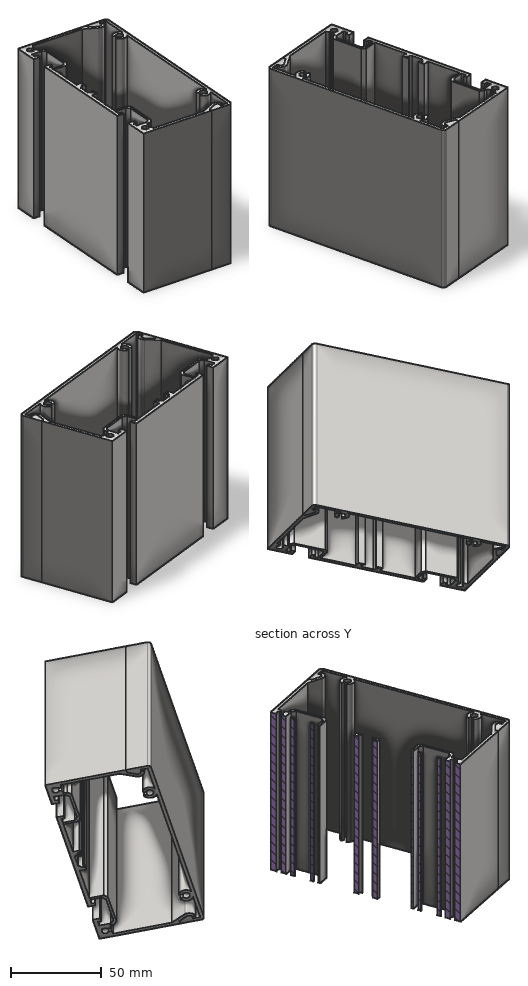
import cadquery as cq
import math

WIDTH = 120
DEPTH = 60
HEIGHT = 100.0
MID_X = WIDTH / 2
WALL = 2.0

COVER_CORNER = 1.9
BOSS_X = 19.9
BOSS_Y = DEPTH - 5.4
BOSS_RADIUS = 4.1
BOSS_BORE_RADIUS = 2.0
BOSS_GAP_ANGLE = 44

NOSE_X = 2.9
NOSE_RADIUS = 1.9
NOSE_TOP_Y = DEPTH - 6.1
NOSE_Y = NOSE_TOP_Y - NOSE_RADIUS
ARM_THICKNESS = 1.9
ARM_RADIUS = NOSE_RADIUS + ARM_THICKNESS
ARM_TIP_X = 3.4
SLOPE_ANGLE = 27

FLOOR = 2.4
SLOT_LEFT = 15.0
SLOT_RIGHT = 25.1
LIP_LEFT = 12.6
LIP_RIGHT = 27.0
LIP_TOP_Y = 4.2

CHANNEL_LEFT = 8.4
CHANNEL_RIGHT = 31.3
CHANNEL_TOP_Y = 12.5
CHANNEL_WALL = 1.5
CHANNEL_CHAMFER = 1.9

PORT_X = 5.2
PORT_Y = 4.7
PORT_RADIUS = 1.9
PORT_NECK = 2.0
PORT_TOP_Y = 8.4
PORT_DIP = 0.6

RAIL_LEFT = 52.5
RAIL_TOP_Y = 6
RAIL_LIP_X = 56.8
RAIL_LIP_Y = 5.2
RAIL_GROOVE_Y = 7.7
RAIL_GROOVE_RADIUS = 6.1


def block(left, right, bottom, top):
    """Full-height box between two X and two Y positions."""
    box = cq.Workplane("XY").box(right - left, top - bottom, HEIGHT, centered=False)
    return box.translate((left, bottom, 0))


def cylinder(x, y, radius):
    """Full-height round bar."""
    return cq.Workplane("XY").center(x, y).circle(radius).extrude(HEIGHT)


def with_mirror(left_half):
    """Join a left half to its mirror image about the middle plane."""
    right_half = left_half.mirror("YZ").translate((WIDTH, 0, 0))
    return left_half.union(right_half).clean()


def around_nose(radius, degrees):
    """Point at an angle on a circle about the nose centre."""
    angle = math.radians(degrees)
    return (NOSE_X + radius * math.cos(angle), NOSE_Y + radius * math.sin(angle))


def slope_foot(radius):
    """Point where the slope tangent to a circle about the nose meets the inner wall face."""
    x, y = around_nose(radius, -SLOPE_ANGLE)
    return (WALL, y - (x - WALL) / math.tan(math.radians(SLOPE_ANGLE)))


COVER_SIDE_END_Y = slope_foot(NOSE_RADIUS)[1]


def rounded_wedge(radius):
    """Wedge on the side wall: flat top, round tip and a slope back to the wall."""
    arc_start = 90
    arc_middle = (arc_start - SLOPE_ANGLE) / 2
    return (
        cq.Workplane("XY")
        .moveTo(0, NOSE_Y + radius)
        .lineTo(*around_nose(radius, arc_start))
        .threePointArc(around_nose(radius, arc_middle), around_nose(radius, -SLOPE_ANGLE))
        .lineTo(*slope_foot(radius))
        .lineTo(0, slope_foot(radius)[1])
        .close()
        .extrude(HEIGHT)
    )


def make_nose():
    """Left nose of the cover, which also shapes the hollow of the arm."""
    return rounded_wedge(NOSE_RADIUS)


def make_screw_boss():
    """Round boss with a bore that opens toward the base through a flaring gap."""
    boss = cylinder(BOSS_X, BOSS_Y, BOSS_RADIUS)
    bore = cylinder(BOSS_X, BOSS_Y, BOSS_BORE_RADIUS)
    half_gap = BOSS_RADIUS * math.tan(math.radians(BOSS_GAP_ANGLE / 2))
    gap_end_y = BOSS_Y - BOSS_RADIUS
    gap = (
        cq.Workplane("XY")
        .polyline([(BOSS_X, BOSS_Y), (BOSS_X - half_gap, gap_end_y), (BOSS_X + half_gap, gap_end_y)])
        .close()
        .extrude(HEIGHT)
    )
    return boss.cut(bore).cut(gap)


def make_cover():
    plate = block(0, MID_X, DEPTH - WALL, DEPTH)
    side = block(0, WALL, COVER_SIDE_END_Y, DEPTH)
    shell = plate.union(side).edges("|Z and <X and >Y").fillet(COVER_CORNER)
    return with_mirror(shell.union(make_nose()).union(make_screw_boss()))


def make_side_with_arm():
    """Base side wall with the arm that wraps the nose of the cover."""
    arm = rounded_wedge(ARM_RADIUS)
    cover_space = block(0, ARM_TIP_X, NOSE_Y, DEPTH).union(block(0, WALL, COVER_SIDE_END_Y, DEPTH))
    side = block(0, WALL, 0, COVER_SIDE_END_Y)
    return side.union(arm).cut(cover_space).cut(make_nose())


def chamfered_bar(left, right, top):
    """Bar standing on the underside with both upper edges chamfered."""
    return block(left, right, 0, top).edges("|Z and >Y").chamfer(CHANNEL_CHAMFER)


def make_channel():
    outer = chamfered_bar(CHANNEL_LEFT, CHANNEL_RIGHT, CHANNEL_TOP_Y)
    inner = chamfered_bar(
        CHANNEL_LEFT + CHANNEL_WALL, CHANNEL_RIGHT - CHANNEL_WALL, CHANNEL_TOP_Y - CHANNEL_WALL
    )
    return outer.cut(inner)


def make_corner():
    """Solid corner with a screw port whose neck opens in a shallow valley."""
    neck_left = PORT_X - PORT_NECK / 2
    neck_right = PORT_X + PORT_NECK / 2
    corner = (
        cq.Workplane("XY")
        .polyline(
            [
                (0, 0),
                (CHANNEL_LEFT + CHANNEL_WALL, 0),
                (CHANNEL_LEFT + CHANNEL_WALL, PORT_TOP_Y),
                (CHANNEL_LEFT, PORT_TOP_Y),
                (neck_right, PORT_TOP_Y - PORT_DIP),
                (neck_left, PORT_TOP_Y - PORT_DIP),
                (WALL, PORT_TOP_Y),
                (0, PORT_TOP_Y),
            ]
        )
        .close()
        .extrude(HEIGHT)
    )
    neck = block(neck_left, neck_right, PORT_Y, PORT_TOP_Y)
    return corner.cut(cylinder(PORT_X, PORT_Y, PORT_RADIUS)).cut(neck)


def make_floor():
    """Floor strips on both sides of the mounting slot, each with a raised lip."""
    inner_strip = block(SLOT_RIGHT, MID_X, 0, FLOOR)
    outer_strip = block(CHANNEL_LEFT, SLOT_LEFT, 0, FLOOR)
    outer_lip = block(LIP_LEFT, SLOT_LEFT, 0, LIP_TOP_Y)
    inner_lip = block(SLOT_RIGHT, LIP_RIGHT, 0, LIP_TOP_Y)
    return inner_strip.union(outer_strip).union(outer_lip).union(inner_lip)


def make_rail():
    """Half of the middle rail: an overhanging lip above a round groove."""
    bar = block(RAIL_LEFT, RAIL_LIP_X, 0, RAIL_TOP_Y)
    below_lip = block(RAIL_LEFT, MID_X, FLOOR, RAIL_LIP_Y)
    groove = cylinder(MID_X, RAIL_GROOVE_Y, RAIL_GROOVE_RADIUS).intersect(below_lip)
    return bar.cut(groove)


def make_base():
    half = make_side_with_arm()
    for feature in (make_corner(), make_channel(), make_floor(), make_rail()):
        half = half.union(feature)
    return with_mirror(half)


cover = make_cover()
base = make_base()
result = cq.Compound.makeCompound([cover.val(), base.val()])